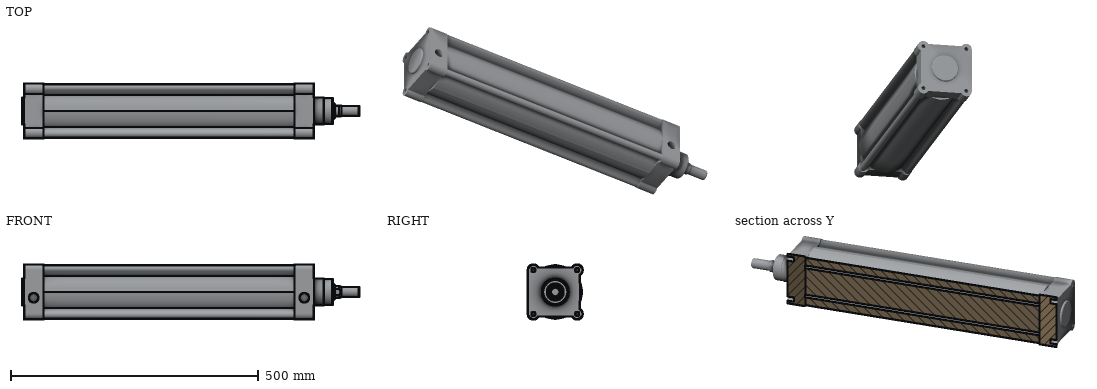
import cadquery as cq
import math

total_length = 683.0
rear_boss_length = 4.0
cap_length = 39.0
barrel_length = 508.5
rear_cap_x = rear_boss_length
barrel_x = rear_cap_x + cap_length
front_cap_x = barrel_x + barrel_length
front_face_x = front_cap_x + cap_length

cap_size = 111.0
cap_half = cap_size / 2
cap_flat = 50.0
screw_pitch = 89.0
lug_radius = cap_half - screw_pitch / 2
screw_hole_radius = 4.0
screw_hole_depth = 13.5
port_radius = 9.5
port_depth = 13.5
port_z = -11.5

boss_radius = 27.0
boss_chamfer = 1.5
collar_length = 20.5
sleeve_radius = 26.5
sleeve_chamfer = 2.0
sleeve_length = 18.5
wiper_base_radius = 17.0
wiper_tip_radius = 13.0
wiper_length = 3.5

barrel_inset = 2.0
barrel_radius = cap_half - barrel_inset
ridge_half_angle = 10.0
rib_radius = 7.0
rib_center = barrel_radius - rib_radius

rod_radius = 12.0
shoulder_x = 646.0
shoulder_chamfer_length = 4.0
shoulder_chamfer_depth = 2.0
flat_half_width = 11.0
thread_radius = 10.0
thread_chamfer_length = 2.0
thread_chamfer_depth = 1.5
sleeve_x = front_face_x + collar_length
wiper_x = sleeve_x + sleeve_length
flat_x = wiper_x + wiper_length


def yz_plane(x):
    """Work plane at the given X, with local x along +Y and local y along +Z."""
    return cq.Workplane("YZ", origin=(x, 0, 0))


def disc(x, radius, length):
    return yz_plane(x).circle(radius).extrude(length)


def make_cap(x, screw_hole_x):
    """End cap block with round corner lugs, screw holes and an air port in its -Y face."""
    screw_square = yz_plane(x).rect(screw_pitch, screw_pitch, forConstruction=True).vertices()
    lugs = screw_square.circle(lug_radius).extrude(cap_length)
    core_width = cap_flat + screw_pitch / 2
    core = (
        yz_plane(x)
        .center((cap_flat - screw_pitch / 2) / 2, 0)
        .rect(core_width, 2 * cap_flat)
        .extrude(cap_length)
    )
    port_wall = (
        yz_plane(x)
        .center(-cap_half / 2, 0)
        .rect(cap_half, screw_pitch)
        .extrude(cap_length)
    )
    screw_holes = (
        yz_plane(screw_hole_x)
        .rect(screw_pitch, screw_pitch, forConstruction=True)
        .vertices()
        .circle(screw_hole_radius)
        .extrude(screw_hole_depth)
    )
    return core.union(port_wall).union(lugs).cut(screw_holes)


def make_port(x):
    """Round cutter for the air port in the middle of the -Y face of the cap starting at x."""
    return (
        cq.Workplane("XZ", origin=(x + cap_length / 2, -cap_half, port_z))
        .circle(port_radius)
        .extrude(-port_depth)
    )


def make_rear_cap():
    boss = disc(0, boss_radius, rear_boss_length).faces("<X").chamfer(boss_chamfer)
    cap = make_cap(rear_cap_x, rear_cap_x)
    return cap.union(boss).cut(make_port(rear_cap_x))


def make_front_cap():
    """Front cap with its stepped collar, conical rod wiper and rod bore."""
    cap = make_cap(front_cap_x, front_face_x - screw_hole_depth)
    collar = disc(front_face_x, boss_radius, collar_length).faces(">X").chamfer(boss_chamfer)
    sleeve = disc(sleeve_x, sleeve_radius, sleeve_length).faces(">X").chamfer(sleeve_chamfer)
    wiper = (
        yz_plane(wiper_x)
        .circle(wiper_base_radius)
        .workplane(offset=wiper_length)
        .circle(wiper_tip_radius)
        .loft(ruled=True)
    )
    bore = disc(front_cap_x, rod_radius, flat_x - front_cap_x)
    body = cap.union(collar).union(sleeve).union(wiper)
    return body.cut(make_port(front_cap_x)).cut(bore)


def make_rib(angle):
    """Radial rib with a round tip, at the given angle about the X axis."""
    rib_reach = rib_center * math.sqrt(2)
    return (
        yz_plane(barrel_x)
        .transformed(rotate=(0, 0, angle))
        .moveTo(0, -rib_radius)
        .lineTo(rib_reach, -rib_radius)
        .threePointArc((rib_reach + rib_radius, 0), (rib_reach, rib_radius))
        .lineTo(0, rib_radius)
        .close()
        .extrude(barrel_length)
    )


def make_ridge(angle):
    """Shallow ridge whose two flanks are tangent to the barrel circle."""
    half_angle = math.radians(ridge_half_angle)
    tangent_reach = barrel_radius * math.cos(half_angle)
    tangent_side = barrel_radius * math.sin(half_angle)
    crest = barrel_radius / math.cos(half_angle)
    return (
        yz_plane(barrel_x)
        .transformed(rotate=(0, 0, angle))
        .polyline([(0, 0), (tangent_reach, -tangent_side), (crest, 0), (tangent_reach, tangent_side)])
        .close()
        .extrude(barrel_length)
    )


def make_barrel():
    """Round barrel with a shallow ridge along each side and a rib along each corner."""
    barrel = disc(barrel_x, barrel_radius, barrel_length)
    for side_angle in (0, 90, 180, 270):
        barrel = barrel.union(make_ridge(side_angle)).union(make_rib(side_angle + 45))
    return barrel


def chamfer_end(shaft, length, depth):
    """Bevel the +X end of a shaft over the given axial length and radial depth."""
    return shaft.faces(">X").chamfer(length, depth)


def make_rod():
    """Rod through the front cap, with two wrench flats and a chamfered threaded end."""
    shaft = disc(front_cap_x, rod_radius, shoulder_x - front_cap_x)
    shaft = chamfer_end(shaft, shoulder_chamfer_length, shoulder_chamfer_depth)
    flat_length = shoulder_x - flat_x
    for side in (-1, 1):
        flat_center = (flat_x + flat_length / 2, side * (flat_half_width + rod_radius / 2), 0)
        flat_cutter = cq.Workplane(origin=flat_center).box(flat_length, rod_radius, 2 * rod_radius)
        shaft = shaft.cut(flat_cutter)
    thread = disc(shoulder_x, thread_radius, total_length - shoulder_x)
    thread = chamfer_end(thread, thread_chamfer_length, thread_chamfer_depth)
    return shaft.union(thread)


rear_cap = make_rear_cap()
barrel = make_barrel()
front_cap = make_front_cap()
rod = make_rod()

result = cq.Compound.makeCompound([rear_cap.val(), barrel.val(), front_cap.val(), rod.val()])